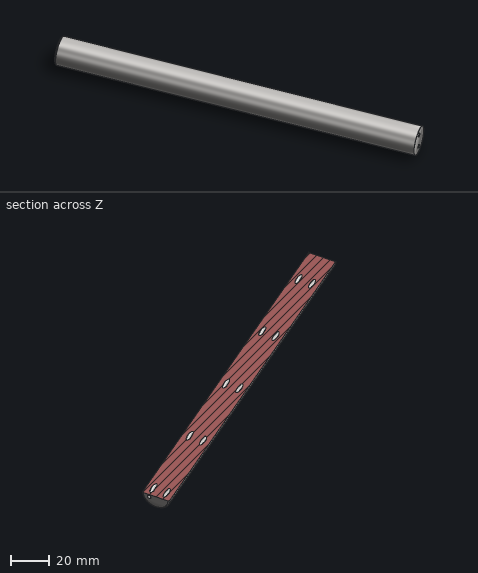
import cadquery as cq
import math

length = 200
diameter = 16
end_chamfer = 0.8

hole_diameter = 2
hole_circle_radius = 4
hole_count = 2
start_angle = -22.5
helix_angle = 30

helix_pitch = math.pi * diameter / math.tan(math.radians(helix_angle))
total_twist = 180 * length / helix_pitch


def end_plane():
    """Workplane on the -X end, centred on the bar axis and facing +X."""
    return cq.Workplane("YZ", origin=(-length / 2, 0, 0))


def make_bar():
    """Plain cylinder with its -X rim chamfered."""
    bar = end_plane().circle(diameter / 2).extrude(length)
    return bar.faces("<X").chamfer(end_chamfer)


def make_coolant_holes():
    """Cutters for the evenly spaced holes that twist about the bar axis."""
    return (
        end_plane()
        .polarArray(hole_circle_radius, start_angle, 360, hole_count)
        .circle(hole_diameter / 2)
        .twistExtrude(length, total_twist)
    )


result = make_bar().cut(make_coolant_holes())